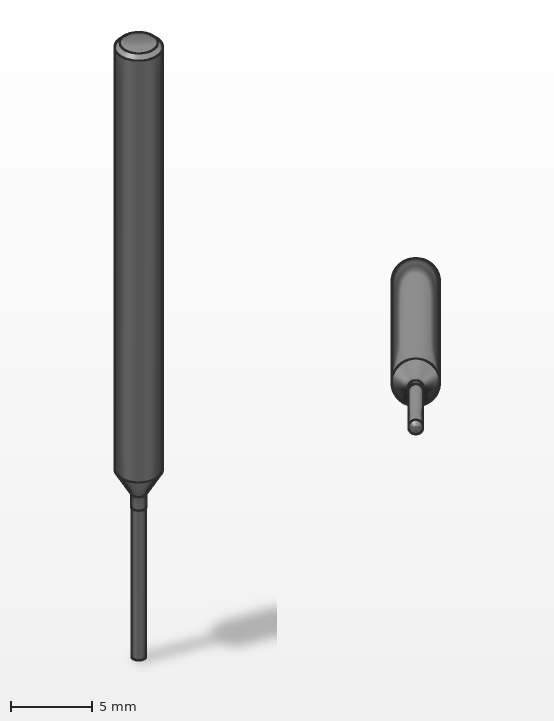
import cadquery as cq

total_length = 46.0
shank_radius = 1.495
end_chamfer = 0.3

cutter_diameter = 0.9
neck_diameter = 0.95
tip_height = 0.25

cutter_top = 11.4
taper_bottom = 12.4
taper_top = 14.2


def revolve_profile(points):
    """Revolve a closed (radius, height) outline around the Z axis."""
    return cq.Workplane("XZ").polyline(points).close().revolve(360, (0, 0, 0), (0, 1, 0))


def make_shank():
    """Chamfered shank that tapers down to a short neck."""
    return revolve_profile([
        (0, cutter_top),
        (neck_diameter / 2, cutter_top),
        (neck_diameter / 2, taper_bottom),
        (shank_radius, taper_top),
        (shank_radius, total_length - end_chamfer),
        (shank_radius - end_chamfer, total_length),
        (0, total_length),
    ])


def make_cutter():
    """Thin round cutter with a shallow conical tip, butted against the neck."""
    return revolve_profile([
        (0, 0),
        (cutter_diameter / 2, tip_height),
        (cutter_diameter / 2, cutter_top),
        (0, cutter_top),
    ])


shank = make_shank()
cutter = make_cutter()

result = cq.Compound.makeCompound([shank.val(), cutter.val()])